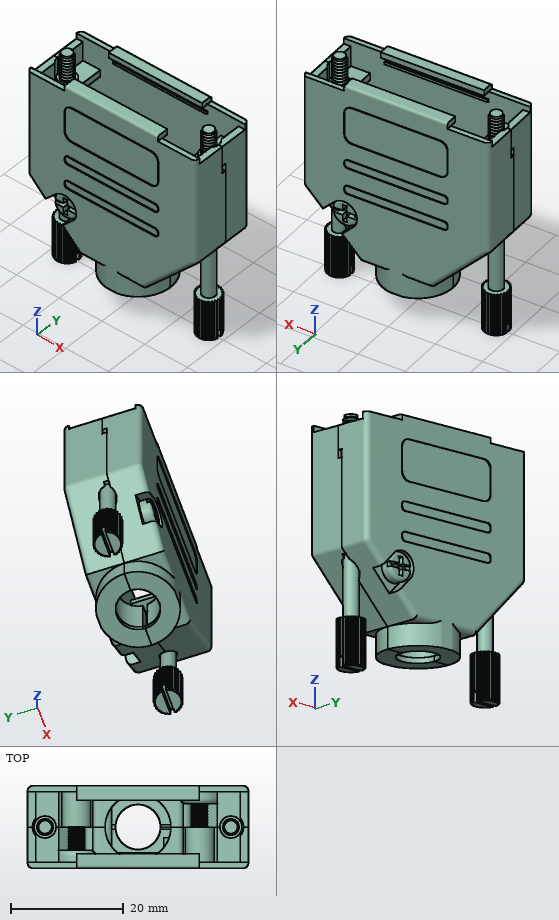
import cadquery as cq
import math

OVERALL_HEIGHT = 47.0

HOOD_WIDTH = 39.5
HOOD_DEPTH = 14.8
HOOD_TOP = 45.82
HOOD_BOTTOM = 9.65
HOOD_BOTTOM_HALF_WIDTH = 7.55
EDGE_RADIUS = 1.05
FACE_WALL = 1.15
SIDE_WALL = 1.5
SIDE_WALL_TOP = 44.6

NECK_RADIUS = 7.5
NECK_BOTTOM = 5.45
NECK_FLOOR_THICKNESS = 1.05
NECK_BORE_RADIUS = 5.88
CABLE_HOLE_RADIUS = 4.0

SEAT_TOP = 16.0
SEAT_STEPS = ((8.1, SEAT_TOP, 1.05), (9.5, 15.05, 1.4))

LIP_HALF_LENGTH = 10.95
LIP_THICKNESS = 1.2
LIP_REACH = 2.65
LIP_EDGE_RADIUS = 0.55
STOP_RIB_TOP = 44.2
STOP_RIB_HEIGHT = 0.55
STOP_RIB_REACH = 0.3

PANEL_TOP = 42.6
PANEL_HEIGHT = 7.85
PANEL_CORNER_RADIUS = 1.7
GRIP_SLOT_CENTERS = (30.0, 24.35)
GRIP_SLOT_HEIGHT = 1.8
GRIP_SLOT_CORNER_RADIUS = 0.75
RECESS_DEPTH = 0.2

LAP_DEPTH = 0.9
LAP_THICKNESS = 0.75
LAP_TONGUE_BOTTOM = 20.85
LAP_TONGUE_TOP = 38.5
LAP_GROOVE_TOP = 40.05

THUMB_X = 16.6
SHANK_RADIUS = 1.45
SHANK_CLEARANCE_RADIUS = 1.6
KNOB_RADIUS = 2.65
KNOB_HEIGHT = 9.05
KNOB_CHAMFER = 0.3
KNURL_COUNT = 24
KNURL_DEPTH = 0.25
KNOB_SLOT_WIDTH = 0.8
KNOB_SLOT_DEPTH = 1.95
THUMB_THREAD_ROOT = 1.18
THUMB_THREAD_PITCH = 0.65

SHELF_TOP = 40.3
SHELF_THICKNESS = 1.5
SHELF_INNER_X = 14.15
WASHER_RADIUS = 1.97
WASHER_THICKNESS = 1.0
WASHER_RELIEF_RADIUS = 2.25

SCREW_X = 11.0
SCREW_Z = 18.75
SCREW_RADIUS = 1.45
SCREW_ROOT = 1.2
SCREW_PITCH = 0.5
SCREW_TIP = 4.25
HEAD_RADIUS = 2.75
HEAD_HEIGHT = 2.1
HEAD_EDGE_RADIUS = 0.65
DRIVE_WIDTH = 0.95
DRIVE_CROSS_LENGTH = 3.5
DRIVE_SLOT_DEPTH = 0.65
DRIVE_CROSS_DEPTH = 1.4
POCKET_RADIUS = 2.8
POCKET_DEPTH = 2.45
POCKET_BOSS_RADIUS = 3.45
POCKET_BOSS_EDGE_RADIUS = 1.05
POCKET_FLOOR_THICKNESS = 0.85
NUT_BOSS_RADIUS = 2.6

FERRULE_SLIT = 0.85
FERRULE_HINGE_X = -4.7
FERRULE_HINGE_RISE = 1.15
FERRULE_FLAT_Y = -4.55
FERRULE_NOTCH_X = 4.6
FERRULE_NOTCH_Y = -2.73
FERRULE_NOTCH_LENGTH = 1.6

HALF_WIDTH = HOOD_WIDTH / 2
FACE_Y = -HOOD_DEPTH / 2
INNER_FACE_Y = FACE_Y + FACE_WALL
SHOULDER_Z = HOOD_BOTTOM + HALF_WIDTH - HOOD_BOTTOM_HALF_WIDTH
CAVITY_FLOOR = HOOD_BOTTOM + SIDE_WALL * math.sqrt(2)
NECK_FLOOR = NECK_BOTTOM + NECK_FLOOR_THICKNESS
POCKET_FLOOR_Y = FACE_Y + POCKET_DEPTH
POCKET_BOSS_Y = POCKET_FLOOR_Y + POCKET_FLOOR_THICKNESS


def block(x_range, y_range, z_range):
    """Box given by its limits along each axis."""
    size = [high - low for low, high in (x_range, y_range, z_range)]
    return cq.Workplane("XY").box(*size, centered=False).translate((x_range[0], y_range[0], z_range[0]))


def upright_cylinder(radius, x, z_bottom, z_top):
    return cq.Workplane("XY", origin=(x, 0, z_bottom)).circle(radius).extrude(z_top - z_bottom)


def depth_cylinder(radius, x, z, y_start, y_end):
    """Cylinder along Y."""
    return cq.Workplane("XZ", origin=(x, y_start, z)).circle(radius).extrude(y_start - y_end)


def hood_prism(inset, top, y_start, y_end):
    """Tapered hood outline, moved inward by `inset`, between two Y planes."""
    half_width = HALF_WIDTH - inset
    shoulder = SHOULDER_Z + inset * math.tan(math.pi / 8)
    bottom = HOOD_BOTTOM + inset * math.sqrt(2)
    bottom_half_width = half_width - (shoulder - bottom)
    outline = [
        (-half_width, top),
        (-half_width, shoulder),
        (-bottom_half_width, bottom),
        (bottom_half_width, bottom),
        (half_width, shoulder),
        (half_width, top),
    ]
    return cq.Workplane("XZ", origin=(0, y_start, 0)).polyline(outline).close().extrude(y_start - y_end)


def screw_slot(radius, y_start, y_end):
    """Round-ended slot around the front screw, running out through the left 45 degree slope."""
    length = 2 * POCKET_BOSS_RADIUS
    channel = (
        cq.Workplane("XZ", origin=(-SCREW_X, y_start, SCREW_Z))
        .center(-length / 2, 0)
        .rect(length, 2 * radius)
        .extrude(y_start - y_end)
        .rotate((-SCREW_X, 0, SCREW_Z), (-SCREW_X, -1, SCREW_Z), 45)
    )
    return channel.union(depth_cylinder(radius, -SCREW_X, SCREW_Z, y_start, y_end))


def thread_profile(start, end, root, crest, pitch):
    """(radius, distance) points of V-shaped thread ridges from start to end."""
    turns = int((end - start) / pitch)
    points = []
    for turn in range(turns):
        base = start + turn * pitch
        points.append((root, base))
        points.append((crest, base + pitch / 2))
    points.append((root, start + turns * pitch))
    points.append((root, end))
    return points


def rounded_hood_prism(y_start, y_end):
    """Full hood outline with its two shoulder corners rounded."""
    body = hood_prism(0, HOOD_TOP, y_start, y_end)
    for side in (-1, 1):
        corner = (side * HALF_WIDTH, (y_start + y_end) / 2, SHOULDER_Z)
        body = body.edges(cq.selectors.NearestToPointSelector(corner)).fillet(EDGE_RADIUS)
    return body


def hood_outside():
    """Rounded outer block of the front half, with its neck."""
    body = rounded_hood_prism(FACE_Y, 0)
    body = body.faces("<Y").edges("not >Z").fillet(EDGE_RADIUS)
    neck = upright_cylinder(NECK_RADIUS, 0, NECK_BOTTOM, CAVITY_FLOOR)
    neck = neck.intersect(block((-NECK_RADIUS, NECK_RADIUS), (FACE_Y, 0), (NECK_BOTTOM, CAVITY_FLOOR)))
    return body.union(neck)


def retaining_lip():
    lip = block(
        (-LIP_HALF_LENGTH, LIP_HALF_LENGTH),
        (FACE_Y, FACE_Y + LIP_REACH),
        (OVERALL_HEIGHT - LIP_THICKNESS, OVERALL_HEIGHT),
    )
    lip = lip.edges(">Z and <Y").fillet(LIP_EDGE_RADIUS)
    stop_rib = block(
        (-LIP_HALF_LENGTH, LIP_HALF_LENGTH),
        (INNER_FACE_Y, INNER_FACE_Y + STOP_RIB_REACH),
        (STOP_RIB_TOP - STOP_RIB_HEIGHT, STOP_RIB_TOP),
    )
    return lip.union(stop_rib)


def face_recess(z_center, height, corner_radius):
    recess = block(
        (-LIP_HALF_LENGTH, LIP_HALF_LENGTH),
        (FACE_Y, FACE_Y + RECESS_DEPTH),
        (z_center - height / 2, z_center + height / 2),
    )
    return recess.edges("|Y").fillet(corner_radius)


def seat_step(half_width, top, edge_radius):
    """Block across the cavity, its two upper side edges rounded."""
    step = block((-half_width, half_width), (INNER_FACE_Y, 0), (CAVITY_FLOOR, top))
    return step.edges(">Z and |Y").fillet(edge_radius)


def lap_band(x_range, y_range, z_range):
    """Outer layer of the side wall within the given limits."""
    y_low, y_high = y_range
    shell = rounded_hood_prism(y_low, y_high).cut(hood_prism(LAP_THICKNESS, HOOD_TOP, y_low, y_high))
    return shell.intersect(block(x_range, y_range, z_range))


def make_hood_half():
    """Front half; the back half is the same shape turned half a turn about Z."""
    outside = hood_outside()
    half = outside.cut(hood_prism(SIDE_WALL, HOOD_TOP, INNER_FACE_Y, 0))
    half = half.cut(block((-HALF_WIDTH, HALF_WIDTH), (INNER_FACE_Y, 0), (SIDE_WALL_TOP, HOOD_TOP)))

    for half_width, top, edge_radius in SEAT_STEPS:
        half = half.union(seat_step(half_width, top, edge_radius).intersect(outside))
    half = half.cut(upright_cylinder(NECK_BORE_RADIUS, 0, NECK_FLOOR, SEAT_TOP))
    half = half.cut(upright_cylinder(CABLE_HOLE_RADIUS, 0, NECK_BOTTOM, SEAT_TOP))

    for side in (-1, 1):
        x_range = sorted((side * SHELF_INNER_X, side * (HALF_WIDTH - SIDE_WALL)))
        half = half.union(block(x_range, (INNER_FACE_Y, 0), (SHELF_TOP - SHELF_THICKNESS, SHELF_TOP)))
    half = half.union(depth_cylinder(NUT_BOSS_RADIUS, SCREW_X, SCREW_Z, INNER_FACE_Y, 0))
    pocket_boss = screw_slot(POCKET_BOSS_RADIUS, FACE_Y, POCKET_BOSS_Y)
    pocket_boss = pocket_boss.faces(">Y").edges().fillet(POCKET_BOSS_EDGE_RADIUS)
    half = half.union(pocket_boss.intersect(outside))

    half = half.cut(screw_slot(POCKET_RADIUS, FACE_Y, POCKET_FLOOR_Y))
    half = half.cut(depth_cylinder(SCREW_RADIUS, -SCREW_X, SCREW_Z, POCKET_FLOOR_Y, POCKET_BOSS_Y))
    half = half.cut(depth_cylinder(SCREW_RADIUS, SCREW_X, SCREW_Z, -SCREW_TIP, 0))

    half = half.cut(lap_band((-HALF_WIDTH, -THUMB_X), (-LAP_DEPTH, 0), (HOOD_BOTTOM, LAP_GROOVE_TOP)))
    half = half.union(lap_band((THUMB_X, HALF_WIDTH), (0, LAP_DEPTH), (LAP_TONGUE_BOTTOM, LAP_TONGUE_TOP)))

    for x in (-THUMB_X, THUMB_X):
        half = half.cut(upright_cylinder(SHANK_CLEARANCE_RADIUS, x, HOOD_BOTTOM, SHELF_TOP))
        half = half.cut(upright_cylinder(WASHER_RELIEF_RADIUS, x, SHELF_TOP, SIDE_WALL_TOP))

    half = half.union(retaining_lip())
    half = half.cut(face_recess(PANEL_TOP - PANEL_HEIGHT / 2, PANEL_HEIGHT, PANEL_CORNER_RADIUS))
    for z in GRIP_SLOT_CENTERS:
        half = half.cut(face_recess(z, GRIP_SLOT_HEIGHT, GRIP_SLOT_CORNER_RADIUS))
    return half


def make_thumbscrew(x):
    knob = cq.Workplane("XY").circle(KNOB_RADIUS).extrude(KNOB_HEIGHT).faces("<Z").chamfer(KNOB_CHAMFER)
    groove = (
        cq.Workplane("XY")
        .transformed(rotate=(0, 0, 45))
        .rect(KNURL_DEPTH * math.sqrt(2), KNURL_DEPTH * math.sqrt(2))
        .extrude(KNOB_HEIGHT)
        .translate((KNOB_RADIUS, 0, 0))
    )
    for index in range(KNURL_COUNT):
        knob = knob.cut(groove.rotate((0, 0, 0), (0, 0, 1), (index + 0.5) * 360 / KNURL_COUNT))
    knob = knob.cut(
        block(
            (-KNOB_RADIUS, KNOB_RADIUS),
            (-KNOB_SLOT_WIDTH / 2, KNOB_SLOT_WIDTH / 2),
            (0, KNOB_SLOT_DEPTH),
        )
    )

    thread_start = SHELF_TOP + WASHER_THICKNESS
    outline = [(0, KNOB_HEIGHT), (SHANK_RADIUS, KNOB_HEIGHT), (SHANK_RADIUS, thread_start)]
    outline += thread_profile(
        thread_start, OVERALL_HEIGHT, THUMB_THREAD_ROOT, SHANK_RADIUS, THUMB_THREAD_PITCH
    )
    outline.append((0, OVERALL_HEIGHT))
    shank = cq.Workplane("XZ").polyline(outline).close().revolve(360, (0, 0, 0), (0, 1, 0))
    return knob.union(shank).translate((x, 0, 0))


def make_washer(x):
    ring = upright_cylinder(WASHER_RADIUS, x, SHELF_TOP, SHELF_TOP + WASHER_THICKNESS)
    return ring.cut(upright_cylinder(SHANK_RADIUS, x, SHELF_TOP, SHELF_TOP + WASHER_THICKNESS))


def make_assembly_screw():
    """Screw of the front head pocket, its tip in the boss of the back half."""
    head_top_y = POCKET_FLOOR_Y - HEAD_HEIGHT
    head = depth_cylinder(HEAD_RADIUS, 0, 0, head_top_y, POCKET_FLOOR_Y)
    head = head.faces("<Y").edges().fillet(HEAD_EDGE_RADIUS)
    slot_y = (head_top_y, head_top_y + DRIVE_SLOT_DEPTH)
    cross_y = (head_top_y, head_top_y + DRIVE_CROSS_DEPTH)
    across = (-DRIVE_WIDTH / 2, DRIVE_WIDTH / 2)
    cross_span = (-DRIVE_CROSS_LENGTH / 2, DRIVE_CROSS_LENGTH / 2)
    head = head.cut(block((-HEAD_RADIUS, HEAD_RADIUS), slot_y, across))
    head = head.cut(block(cross_span, cross_y, across))
    head = head.cut(block(across, cross_y, cross_span))

    outline = [(0, POCKET_FLOOR_Y), (SCREW_RADIUS, POCKET_FLOOR_Y), (SCREW_RADIUS, POCKET_BOSS_Y)]
    outline += thread_profile(POCKET_BOSS_Y, SCREW_TIP, SCREW_ROOT, SCREW_RADIUS, SCREW_PITCH)
    outline.append((0, SCREW_TIP))
    shank = cq.Workplane("XY").polyline(outline).close().revolve(360, (0, 0, 0), (0, 1, 0))
    return head.union(shank).translate((-SCREW_X, 0, SCREW_Z))


def make_ferrule():
    """Sleeve in the neck bore, slit through on the right, with a raised round-edged hinge on the left."""
    ring_top = SEAT_TOP - FERRULE_HINGE_RISE
    ring_z = (NECK_FLOOR, ring_top)
    right_x = (FERRULE_HINGE_X, NECK_BORE_RADIUS)
    depth_y = (FERRULE_FLAT_Y, NECK_BORE_RADIUS)
    half_slit = (-FERRULE_SLIT / 2, FERRULE_SLIT / 2)
    notch_y = (FERRULE_NOTCH_Y - FERRULE_NOTCH_LENGTH / 2, FERRULE_NOTCH_Y + FERRULE_NOTCH_LENGTH / 2)

    hinge = block((-NECK_BORE_RADIUS, FERRULE_HINGE_X), depth_y, (NECK_FLOOR, SEAT_TOP))
    hinge = hinge.edges(">X and >Z").fillet(FERRULE_HINGE_RISE)
    envelope = hinge.union(block(right_x, depth_y, ring_z))
    sleeve = upright_cylinder(NECK_BORE_RADIUS, 0, NECK_FLOOR, SEAT_TOP).intersect(envelope)
    sleeve = sleeve.cut(upright_cylinder(CABLE_HOLE_RADIUS, 0, *ring_z))
    sleeve = sleeve.cut(block((0, NECK_BORE_RADIUS), half_slit, ring_z))
    sleeve = sleeve.cut(block((FERRULE_HINGE_X, 0), half_slit, (ring_top - FERRULE_SLIT, ring_top)))
    return sleeve.cut(block((FERRULE_NOTCH_X, NECK_BORE_RADIUS), notch_y, ring_z))


hood_half = make_hood_half()
assembly_screw = make_assembly_screw()
ferrule = make_ferrule()

bodies = ferrule.solids().vals()
for turn in (0, 180):
    for body in (hood_half, assembly_screw):
        bodies += body.rotate((0, 0, 0), (0, 0, 1), turn).solids().vals()
for thumb_x in (-THUMB_X, THUMB_X):
    bodies += make_thumbscrew(thumb_x).solids().vals()
    bodies += make_washer(thumb_x).solids().vals()

result = cq.Compound.makeCompound(bodies)